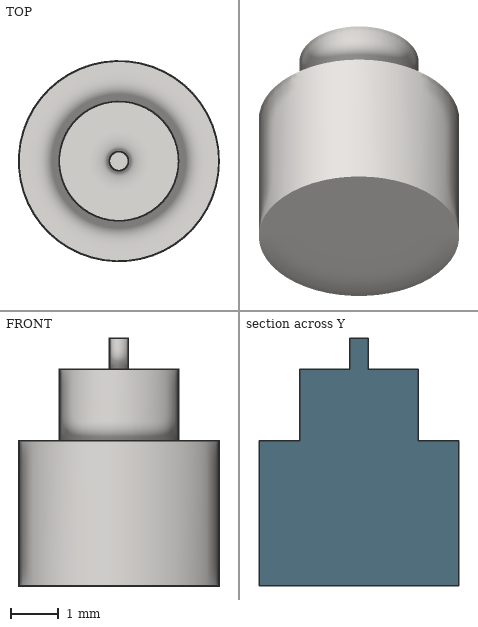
import cadquery as cq

total_height = 5.2
body_diameter = 4.2
body_height = 3.05
collar_diameter = 2.5
collar_height = 1.5
pin_diameter = 0.4
pin_height = total_height - body_height - collar_height


def cylinder(diameter, height, base_z):
    """Upright cylinder on the Z axis, standing on base_z."""
    return cq.Workplane("XY").workplane(offset=base_z).circle(diameter / 2).extrude(height)


body = cylinder(body_diameter, body_height, 0)
collar = cylinder(collar_diameter, collar_height, body_height)
pin = cylinder(pin_diameter, pin_height, body_height + collar_height)

result = body.union(collar).union(pin)